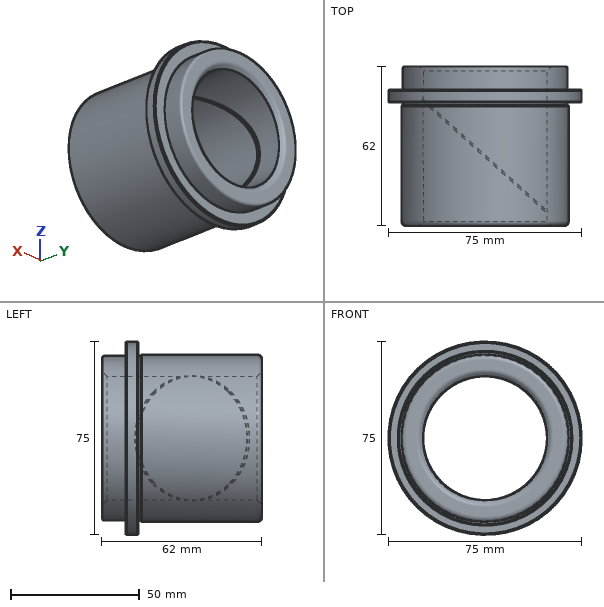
import cadquery as cq
import math

length = 62.0
rear_y = length / 2
front_y = -length / 2

flange_radius = 37.5
flange_width = 5.1
flange_chamfer = 0.5
boss_radius = 32.0
boss_length = 9.0
boss_fillet = 1.05
body_radius = 32.5
body_fillet = 2.0

relief_width = 1.4
relief_taper = 0.5
undercut_depth = 0.45
undercut_radius = 33.45

bore_radius = 24.0
mouth_radius = 26.7
mouth_round = 1.95
mouth_cone_radius = mouth_radius - mouth_round * math.sin(math.pi / 4)
mouth_round_depth = mouth_round * (1 - math.cos(math.pi / 4))
mouth_depth = mouth_round_depth + mouth_cone_radius - bore_radius

groove_width = 0.7
groove_depth = 0.3
groove_tilt = 42.0
groove_center_y = -3.9

flange_rear_y = rear_y - boss_length
flange_front_y = flange_rear_y - flange_width
body_rear_y = flange_front_y - relief_width


def make_outside():
    profile = (
        cq.Workplane("XY")
        .moveTo(0, rear_y)
        .lineTo(boss_radius - boss_fillet, rear_y)
        .radiusArc((boss_radius, rear_y - boss_fillet), boss_fillet)
        .lineTo(boss_radius, flange_rear_y)
        .lineTo(flange_radius - flange_chamfer, flange_rear_y)
        .lineTo(flange_radius, flange_rear_y - flange_chamfer)
        .lineTo(flange_radius, flange_front_y + flange_chamfer)
        .lineTo(flange_radius - flange_chamfer, flange_front_y)
        .lineTo(undercut_radius + undercut_depth, flange_front_y)
        .lineTo(undercut_radius, flange_front_y + undercut_depth)
        .lineTo(boss_radius, flange_front_y + undercut_depth)
        .lineTo(boss_radius, body_rear_y + relief_taper)
        .lineTo(body_radius, body_rear_y)
        .lineTo(body_radius, front_y + body_fillet)
        .radiusArc((body_radius - body_fillet, front_y), body_fillet)
        .lineTo(0, front_y)
        .close()
    )
    return profile.revolve(360, (0, 0, 0), (0, 1, 0))


def make_bore():
    profile = (
        cq.Workplane("XY")
        .moveTo(0, rear_y)
        .lineTo(mouth_radius, rear_y)
        .radiusArc((mouth_cone_radius, rear_y - mouth_round_depth), -mouth_round)
        .lineTo(bore_radius, rear_y - mouth_depth)
        .lineTo(bore_radius, front_y + mouth_depth)
        .lineTo(mouth_cone_radius, front_y + mouth_round_depth)
        .radiusArc((mouth_radius, front_y), -mouth_round)
        .lineTo(0, front_y)
        .close()
    )
    return profile.revolve(360, (0, 0, 0), (0, 1, 0))


def make_groove():
    slab_side = 2 * flange_radius
    slab = (
        cq.Workplane("XY")
        .box(slab_side, groove_width, slab_side)
        .rotate((0, 0, 0), (0, 0, 1), -groove_tilt)
        .translate((0, groove_center_y, 0))
    )
    groove_floor = (
        cq.Workplane("XZ")
        .circle(bore_radius + groove_depth)
        .extrude(length / 2, both=True)
    )
    return slab.intersect(groove_floor)


result = make_outside().cut(make_bore()).cut(make_groove())